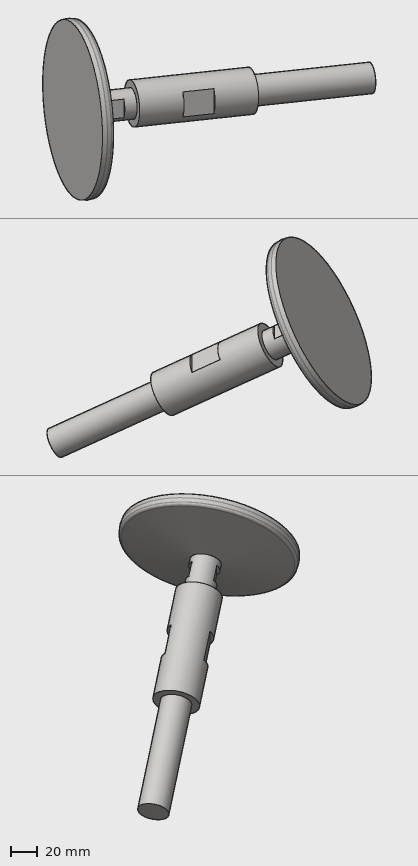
import cadquery as cq

total_length = 238.0

plate_diameter = 138.0
rim_inset = 0.5
rim_widest_height = 3.8
rim_top_height = 7.1
cone_top_height = 19.3
cone_edge_height = 9.3
shoulder_round = 2.4

spindle_diameter = 24.0
spindle_flat_width = 19.0
spindle_flat_length = 12.9
spindle_flat_center = 31.2

sleeve_diameter = 36.0
sleeve_length = 95.0
sleeve_start = 47.4
sleeve_flat_width = 30.0
sleeve_flat_length = 24.8
sleeve_flat_center = 95.2


def cylinder_along_y(diameter, start, length):
    """Round bar on the Y axis, running from start towards +Y."""
    base = cq.Workplane("XZ", origin=(0, start, 0))
    return base.circle(diameter / 2).extrude(-length)


def cut_wrench_flats(body, diameter, flat_width, flat_length, center):
    """Cut a pair of flats facing -X and +X, flat_width apart."""
    cut_depth = (diameter - flat_width) / 2
    for side in (-1, 1):
        cutter = cq.Workplane("XY").box(cut_depth, flat_length, diameter)
        offset = side * (flat_width + cut_depth) / 2
        body = body.cut(cutter.translate((offset, center, 0)))
    return body


def make_plate():
    """Conical plate with a slightly crowned rim and a rounded shoulder."""
    plate_radius = plate_diameter / 2
    rim_radius = plate_radius - rim_inset
    shoulder = cq.selectors.BoxSelector(
        (-plate_diameter, cone_edge_height - rim_inset, -plate_diameter),
        (plate_diameter, cone_edge_height + rim_inset, plate_diameter),
    )
    profile = (
        cq.Workplane("XY")
        .moveTo(0, 0)
        .lineTo(rim_radius, 0)
        .lineTo(plate_radius, rim_widest_height)
        .lineTo(rim_radius, rim_top_height)
        .lineTo(rim_radius, cone_edge_height)
        .lineTo(spindle_diameter / 2, cone_top_height)
        .lineTo(0, cone_top_height)
        .close()
    )
    plate = profile.revolve(360, (0, 0, 0), (0, 1, 0))
    return plate.edges("%CIRCLE").edges(shoulder).fillet(shoulder_round)


def make_foot():
    """Foot plate and spindle in one piece."""
    spindle = cylinder_along_y(spindle_diameter, cone_top_height, total_length - cone_top_height)
    spindle = cut_wrench_flats(
        spindle, spindle_diameter, spindle_flat_width, spindle_flat_length, spindle_flat_center
    )
    return make_plate().union(spindle)


def make_sleeve():
    """Sleeve with a through bore that fits the spindle."""
    sleeve = cylinder_along_y(sleeve_diameter, sleeve_start, sleeve_length)
    sleeve = cut_wrench_flats(
        sleeve, sleeve_diameter, sleeve_flat_width, sleeve_flat_length, sleeve_flat_center
    )
    bore = cylinder_along_y(spindle_diameter, sleeve_start, sleeve_length)
    return sleeve.cut(bore)


foot = make_foot()
sleeve = make_sleeve()

result = cq.Compound.makeCompound([foot.val(), sleeve.val()])